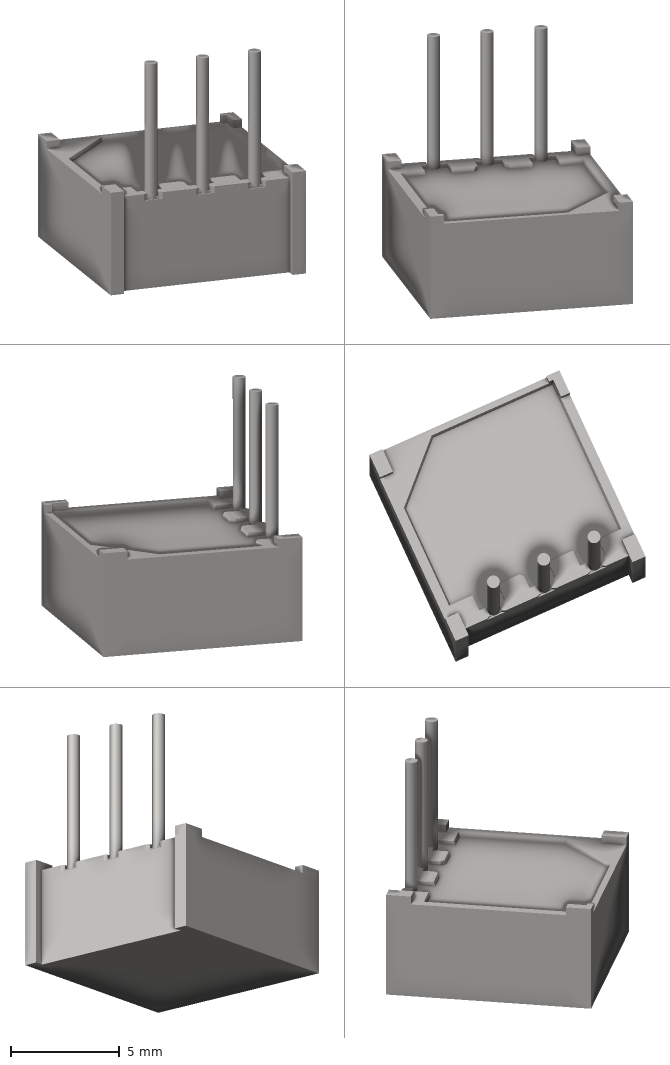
import cadquery as cq
import math

case_side = 9.59
half_side = case_side / 2
total_height = 10.77
rim_height = 4.56
foot_height = 4.94
foot_length = 1.16
foot_width = 0.66
back_recess = 0.42
back_wall_x = half_side - back_recess

pocket_depth = 0.2
pocket_floor = rim_height - pocket_depth
left_border = 0.29
side_border = 0.44
pocket_left = left_border - half_side
pocket_right = 3.1
pocket_half_width = half_side - side_border
pocket_corner_cut = 2.56
wall_lean = 0.09
wall_draft = math.degrees(math.atan2(wall_lean, pocket_depth))

pin_diameter = 0.59
pin_pitch = 2.54
pin_x = 4.03
pin_root_depth = 0.11
pin_base = pocket_floor - pin_root_depth
pin_ys = (-pin_pitch, 0, pin_pitch)
bay_width = 1.27
bay_end_x = 3.87
bay_mouth_chamfer = 0.24
slot_width = pin_diameter

flare_width = 0.9
flare_depth = 0.08
flare_drop = 0.11
flare_floor = pocket_floor - flare_drop


def box(x_min, x_max, y_center, y_size, z_min, z_max):
    """Box centred on y_center, spanning the given X and Z limits."""
    return (
        cq.Workplane("XY", origin=((x_min + x_max) / 2, y_center, z_min))
        .rect(x_max - x_min, y_size)
        .extrude(z_max - z_min)
    )


def make_case():
    """Block with four corner feet and the set-back +X wall."""
    case = box(-half_side, half_side, 0, case_side, 0, foot_height)
    gap_x = half_side - foot_length
    gap_width = case_side - 2 * foot_width
    case = case.cut(box(-gap_x, gap_x, 0, case_side, rim_height, foot_height))
    case = case.cut(box(-half_side, half_side, 0, gap_width, rim_height, foot_height))
    return case.cut(box(back_wall_x, half_side, 0, gap_width, 0, foot_height))


def pocket_outline(height):
    """Closed pocket perimeter, with one cut corner, at the given height."""
    return cq.Workplane("XY", origin=(0, 0, height)).polyline([
        (pocket_left + pocket_corner_cut, -pocket_half_width),
        (pocket_right, -pocket_half_width),
        (pocket_right, pocket_half_width),
        (pocket_left, pocket_half_width),
        (pocket_left, pocket_corner_cut - pocket_half_width),
    ]).close()


def make_pocket():
    """Drafted pocket, carried straight up so that it also trims the foot it meets."""
    drafted = pocket_outline(rim_height).extrude(-pocket_depth, taper=wall_draft)
    return drafted.union(pocket_outline(rim_height).extrude(foot_height - rim_height))


def make_bay(pin_y):
    """Rectangular bay from the pocket to a pin, the slot around it and its flared exit."""
    bay_start_x = pocket_right - 2 * wall_lean
    bay = box(bay_start_x, bay_end_x, pin_y, bay_width, pocket_floor, rim_height)
    slot = box(bay_start_x, back_wall_x, pin_y, slot_width, pocket_floor, rim_height)
    flare_base_x = back_wall_x - flare_depth
    flare = (
        cq.Workplane("XY", origin=(0, pin_y, flare_floor))
        .polyline([
            (flare_base_x, -slot_width / 2),
            (back_wall_x, -flare_width / 2),
            (back_wall_x, flare_width / 2),
            (flare_base_x, slot_width / 2),
        ])
        .close()
        .extrude(rim_height - flare_floor)
    )
    return bay.union(slot).union(flare)


def make_bay_mouth():
    """Wedge that chamfers both edges where the middle bay opens into the pocket."""
    mouth_x = pocket_right - wall_lean
    return (
        cq.Workplane("XY", origin=(0, 0, pocket_floor))
        .polyline([
            (mouth_x, -bay_width / 2 - bay_mouth_chamfer),
            (mouth_x + bay_mouth_chamfer, -bay_width / 2),
            (mouth_x + bay_mouth_chamfer, bay_width / 2),
            (mouth_x, bay_width / 2 + bay_mouth_chamfer),
        ])
        .close()
        .extrude(pocket_depth)
    )


def make_pin(pin_y):
    """Round pin rising from the pocket floor, rooted in the case."""
    return (
        cq.Workplane("XY", origin=(pin_x, pin_y, pin_base))
        .circle(pin_diameter / 2)
        .extrude(total_height - pin_base)
    )


result = make_case().cut(make_pocket()).cut(make_bay_mouth())
for y in pin_ys:
    result = result.cut(make_bay(y))
for y in pin_ys:
    result = result.union(make_pin(y))